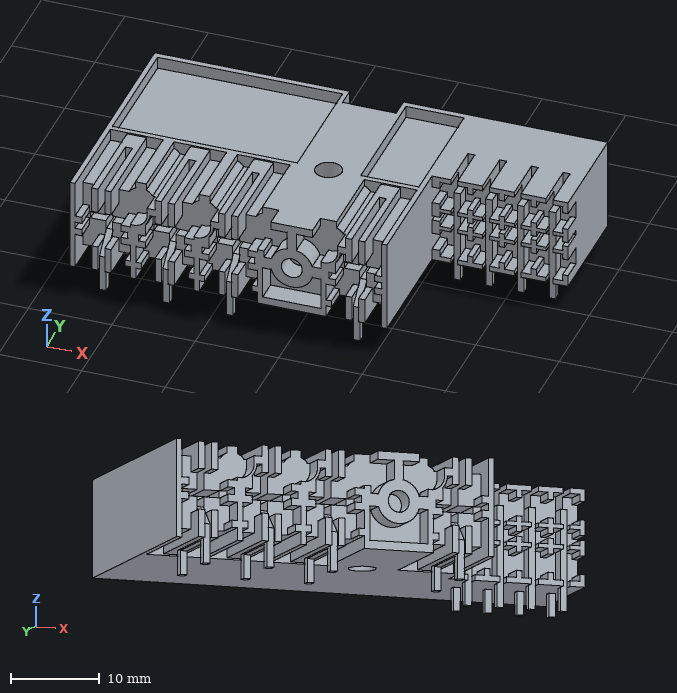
import cadquery as cq

LENGTH = 54.3
DEPTH = 28.3
HEIGHT = 11.3
MID_Z = HEIGHT / 2
PIN_DROP = 2.7
PIN_THICK = 0.8
POWER_PIN_WIDTH = 0.9
SIGNAL_PIN_WIDTH = 0.8

POWER_LENGTH = 38.0
PITCH = 7.6
CONTACTS = [PITCH * (i + 0.5) for i in (0, 1, 2, 4)]
DIVIDERS = [PITCH, 2 * PITCH]
BOSS_LEFT = 3 * PITCH
BOSS_RIGHT = 4 * PITCH
BOSS_X = (BOSS_LEFT + BOSS_RIGHT) / 2
WALL = 0.65
FRONT_DEPTH = 2.6
TRENCH_REAR = 11.8
TRENCH_DEPTH = 1.45
TRENCH_TOP_Z = HEIGHT - TRENCH_DEPTH

GRIP_HALF = 1.17
GRIP_HEIGHT = 3.15
GRIP_INSET = 0.15
POWER_SLOT_REAR = 9.2
BLADE_FRONT = 0.5
BLADE_STEP_Y = 6.75
BLADE_TOP = 4.15
BLADE_BEVEL = 2.35
SLIT_HEIGHT = 0.8
SLIT_HALF = 2.2
SLIT_LOW = MID_Z - SLIT_HEIGHT / 2
SLIT_HIGH = MID_Z + SLIT_HEIGHT / 2

CAVITY_HALF = 2.35
BLOCK_HALF = PITCH / 2 - CAVITY_HALF
BLOCK_HEIGHT = 2.5
BLOCK_LOW = MID_Z - BLOCK_HEIGHT / 2
BLOCK_HIGH = MID_Z + BLOCK_HEIGHT / 2
NECK_HALF = 0.65
COLUMN_HALF = 0.3
FOOT_HALF = 1.0
FOOT_HEIGHT = 0.8
BORE_R = 1.7
BORE_Z = 8.9
BORE_WALL = 0.3
STEP_TOP = BORE_Z - BORE_R
STEP_END = 0.5

RING_R = 2.55
RING_HOLE_R = 1.25
RING_BAR_HEIGHT = 1.45
BOSS_FLOOR = 1.0
CAP_HALF = 2.5
CAP_THICK = 1.0
STEM_HALF = 0.55
SCREW_HOLE_R = 1.6
SCREW_HOLE_Y = 12.3
REAR_NOTCH_HALF = 3.2
REAR_NOTCH_DEPTH = 2.45

PANEL_DEPTH = 1.45
PANEL_FRONT = 12.45
PANEL_REAR_WALL = 0.8
PANEL_REAR = DEPTH - PANEL_REAR_WALL

SIGNAL_FRONT = 15.05
SIGNAL_REAR = SIGNAL_FRONT + FRONT_DEPTH
SIGNAL_FIRST = 40.7
SIGNAL_PITCH = 3.8
SIGNAL_COUNT = 4
SIGNAL_SLOT_REAR = 20.75
SIGNAL_BLADE_FRONT = 16.0
SIGNAL_BLADE_TOP = 8.95
GRID_BAR = 0.5
GRID_MIDDLE_HEIGHT = 1.85
TAB_WIDTH = 0.65
OUTER_TAB = 0.8
INNER_TAB = 0.65
LEFT_TAB_WIDTH = 0.9


def box(x0, x1, y0, y1, z0, z1):
    """Axis-aligned box between two opposite corners."""
    return cq.Workplane("XY").box(x1 - x0, y1 - y0, z1 - z0, centered=False).translate((x0, y0, z0))


def front_box(x0, x1, z0, z1):
    """Box that fills the open front zone of the power section."""
    return box(x0, x1, 0, FRONT_DEPTH, z0, z1)


def rod(x, z, radius, y0, y1):
    """Cylinder along Y."""
    return cq.Workplane("XZ", origin=(x, y0, z)).circle(radius).extrude(y0 - y1)


def add_all(solid, parts):
    for part in parts:
        solid = solid.union(part)
    return solid


def make_housing():
    power = box(0, POWER_LENGTH, 0, DEPTH, 0, HEIGHT)
    signal = box(POWER_LENGTH, LENGTH, SIGNAL_FRONT, DEPTH, 0, HEIGHT)
    housing = power.union(signal)
    return housing.cut(front_box(WALL, POWER_LENGTH - WALL, 0, HEIGHT))


def cut_trenches(housing):
    """Trenches above and below each bay; the bore bosses stay standing in the upper ones."""
    bosses = [rod(x, BORE_Z, BORE_R, FRONT_DEPTH, TRENCH_REAR) for x in DIVIDERS + [BOSS_LEFT, BOSS_RIGHT]]
    for x in CONTACTS:
        left = x - PITCH / 2
        right = x + PITCH / 2
        inner_left, inner_right = WALL, POWER_LENGTH - WALL
        upper = box(
            max(inner_left, left + NECK_HALF), min(inner_right, right - NECK_HALF),
            FRONT_DEPTH, TRENCH_REAR, TRENCH_TOP_Z, HEIGHT,
        )
        for boss in bosses:
            upper = upper.cut(boss)
        lower = box(
            max(inner_left, left + COLUMN_HALF), min(inner_right, right - COLUMN_HALF),
            FRONT_DEPTH, TRENCH_REAR, 0, TRENCH_DEPTH,
        )
        housing = housing.cut(upper).cut(lower)
    return housing


def cut_panels(housing):
    floor = HEIGHT - PANEL_DEPTH
    left = box(WALL, BOSS_LEFT, PANEL_FRONT, PANEL_REAR, floor, HEIGHT)
    right = box(BOSS_RIGHT, POWER_LENGTH - WALL, PANEL_FRONT, PANEL_REAR, floor, HEIGHT)
    return housing.cut(left).cut(right)


def lips(x0, x1):
    """Lips above and below the horizontal slit."""
    return [front_box(x0, x1, BLOCK_LOW, SLIT_LOW), front_box(x0, x1, SLIT_HIGH, BLOCK_HIGH)]


def column(x):
    return front_box(x - COLUMN_HALF, x + COLUMN_HALF, 0, BLOCK_HIGH)


def foot(x0, x1):
    return front_box(x0, x1, TRENCH_DEPTH, TRENCH_DEPTH + FOOT_HEIGHT)


def bore_shell(x):
    """Cradle under the wire bore, joined to the grip of the next bay on the right."""
    cradle = front_box(x - COLUMN_HALF, x + BLOCK_HALF, BLOCK_HIGH, BORE_Z)
    rim = rod(x, BORE_Z, BORE_R + BORE_WALL, 0, FRONT_DEPTH)
    rim = rim.intersect(front_box(x, x + PITCH / 2, BLOCK_HIGH, BORE_Z))
    bridge = front_box(x + BORE_R, x + PITCH / 2 - GRIP_HALF, BORE_Z, TRENCH_TOP_Z)
    shell = cradle.union(rim).union(bridge)
    return shell.cut(rod(x, BORE_Z, BORE_R, 0, FRONT_DEPTH))


def full_divider(x):
    return [
        column(x),
        foot(x - FOOT_HALF, x + FOOT_HALF),
        front_box(x - NECK_HALF, x + NECK_HALF, BLOCK_LOW, BLOCK_HIGH),
        *lips(x - BLOCK_HALF, x - NECK_HALF),
        *lips(x + NECK_HALF, x + BLOCK_HALF),
        bore_shell(x),
    ]


def boss_dividers():
    """Half dividers: bay features on the outer side only, the boss on the inner side."""
    left, right = BOSS_LEFT, BOSS_RIGHT
    left_half = [
        column(left),
        foot(left - FOOT_HALF, left),
        front_box(left - NECK_HALF, left, BLOCK_LOW, BLOCK_HIGH),
        *lips(left - BLOCK_HALF, left - NECK_HALF),
    ]
    right_half = [part.mirror("YZ", (BOSS_X, 0, 0)) for part in left_half]
    left_step = front_box(left - COLUMN_HALF, left + STEP_END, MID_Z, STEP_TOP)
    right_step = front_box(right - COLUMN_HALF, right, MID_Z, STEP_TOP)
    return left_half + right_half + [left_step, right_step, bore_shell(right)]


def end_lips():
    left_end = PITCH / 2 - CAVITY_HALF
    return lips(WALL, left_end) + lips(POWER_LENGTH - left_end, POWER_LENGTH - WALL)


def mounting_boss():
    bar_low = MID_Z - RING_BAR_HEIGHT / 2
    bar_high = MID_Z + RING_BAR_HEIGHT / 2
    boss = rod(BOSS_X, MID_Z, RING_R, 0, FRONT_DEPTH)
    boss = boss.union(front_box(BOSS_LEFT, BOSS_RIGHT, bar_low, bar_high))
    boss = boss.union(front_box(BOSS_X - STEM_HALF, BOSS_X + STEM_HALF, MID_Z, HEIGHT))
    boss = boss.union(front_box(BOSS_X - CAP_HALF, BOSS_X + CAP_HALF, HEIGHT - CAP_THICK, HEIGHT))
    boss = boss.union(front_box(BOSS_LEFT, BOSS_RIGHT, 0, BOSS_FLOOR))
    return boss.cut(rod(BOSS_X, MID_Z, RING_HOLE_R, 0, FRONT_DEPTH))


def rear_notch():
    """Notch behind the screw hole that uncovers the top of the rear boss."""
    front = DEPTH - REAR_NOTCH_DEPTH
    floor = MID_Z + RING_BAR_HEIGHT / 2
    notch = box(BOSS_X - REAR_NOTCH_HALF, BOSS_X + REAR_NOTCH_HALF, front, DEPTH, floor, HEIGHT)
    return notch.cut(rod(BOSS_X, MID_Z, RING_R, front, DEPTH))


def grips(x):
    top = HEIGHT - GRIP_INSET
    upper = box(x - GRIP_HALF, x + GRIP_HALF, 0, TRENCH_REAR, top - GRIP_HEIGHT, top)
    lower = box(x - GRIP_HALF, x + GRIP_HALF, 0, TRENCH_REAR, GRIP_INSET, GRIP_INSET + GRIP_HEIGHT)
    return [upper, lower]


def power_slots(x):
    half = PIN_THICK / 2
    upright = box(x - half, x + half, 0, POWER_SLOT_REAR, 0, HEIGHT)
    slit = box(x - SLIT_HALF, x + SLIT_HALF, FRONT_DEPTH, BLADE_STEP_Y, SLIT_LOW, SLIT_HIGH)
    return upright.union(slit)


def power_blade(x):
    """Blade with a bevelled nose, a raised rear step and two solder pins."""
    outline = [
        (BLADE_FRONT, -PIN_DROP),
        (BLADE_FRONT, BLADE_TOP - BLADE_BEVEL),
        (BLADE_FRONT + BLADE_BEVEL, BLADE_TOP),
        (BLADE_STEP_Y, BLADE_TOP),
        (BLADE_STEP_Y, SLIT_HIGH),
        (POWER_SLOT_REAR, SLIT_HIGH),
        (POWER_SLOT_REAR, -PIN_DROP),
        (POWER_SLOT_REAR - POWER_PIN_WIDTH, -PIN_DROP),
        (POWER_SLOT_REAR - POWER_PIN_WIDTH, 0),
        (BLADE_FRONT + POWER_PIN_WIDTH, 0),
        (BLADE_FRONT + POWER_PIN_WIDTH, -PIN_DROP),
    ]
    plane = cq.Workplane("YZ", origin=(x - PIN_THICK / 2, 0, 0))
    return plane.polyline(outline).close().extrude(PIN_THICK)


def signal_openings():
    """Three rows of openings, with tabs left standing on their upper and lower edges."""
    middle_low = MID_Z - GRID_MIDDLE_HEIGHT / 2
    middle_high = MID_Z + GRID_MIDDLE_HEIGHT / 2
    rows = [
        (WALL, middle_low - GRID_BAR, OUTER_TAB, INNER_TAB),
        (middle_low, middle_high, INNER_TAB, INNER_TAB),
        (middle_high + GRID_BAR, HEIGHT - WALL, INNER_TAB, OUTER_TAB),
    ]
    tabs = [(POWER_LENGTH, POWER_LENGTH + LEFT_TAB_WIDTH), (LENGTH - TAB_WIDTH, LENGTH)]
    for i in range(SIGNAL_COUNT - 1):
        middle = SIGNAL_FIRST + SIGNAL_PITCH * (i + 0.5)
        tabs.append((middle - TAB_WIDTH / 2, middle + TAB_WIDTH / 2))
    openings = cq.Workplane("XY")
    for low, high, low_tab, high_tab in rows:
        row = box(POWER_LENGTH, LENGTH, SIGNAL_FRONT, SIGNAL_REAR, low, high)
        for x0, x1 in tabs:
            row = row.cut(box(x0, x1, SIGNAL_FRONT, SIGNAL_REAR, low, low + low_tab))
            row = row.cut(box(x0, x1, SIGNAL_FRONT, SIGNAL_REAR, high - high_tab, high))
        openings = openings.add(row)
    return openings.combine()


def signal_slot(x):
    half = PIN_THICK / 2
    return box(x - half, x + half, SIGNAL_FRONT, SIGNAL_SLOT_REAR, 0, HEIGHT)


def signal_blade(x):
    x0 = x - PIN_THICK / 2
    x1 = x + PIN_THICK / 2
    plate = box(x0, x1, SIGNAL_BLADE_FRONT, SIGNAL_SLOT_REAR, 0, SIGNAL_BLADE_TOP)
    front_pin = box(x0, x1, SIGNAL_BLADE_FRONT, SIGNAL_BLADE_FRONT + SIGNAL_PIN_WIDTH, -PIN_DROP, 0)
    rear_pin = box(x0, x1, SIGNAL_SLOT_REAR - SIGNAL_PIN_WIDTH, SIGNAL_SLOT_REAR, -PIN_DROP, 0)
    return plate.union(front_pin).union(rear_pin)


result = cut_panels(cut_trenches(make_housing()))
for divider_x in DIVIDERS:
    result = add_all(result, full_divider(divider_x))
result = add_all(result, boss_dividers() + end_lips() + [mounting_boss()])
result = result.cut(rear_notch())
result = result.cut(
    cq.Workplane("XY").center(BOSS_X, SCREW_HOLE_Y).circle(SCREW_HOLE_R).extrude(HEIGHT)
)
for contact_x in CONTACTS:
    result = add_all(result, grips(contact_x))
    result = result.cut(power_slots(contact_x)).union(power_blade(contact_x))

result = result.cut(signal_openings())
for i in range(SIGNAL_COUNT):
    blade_x = SIGNAL_FIRST + SIGNAL_PITCH * i
    result = result.cut(signal_slot(blade_x)).union(signal_blade(blade_x))